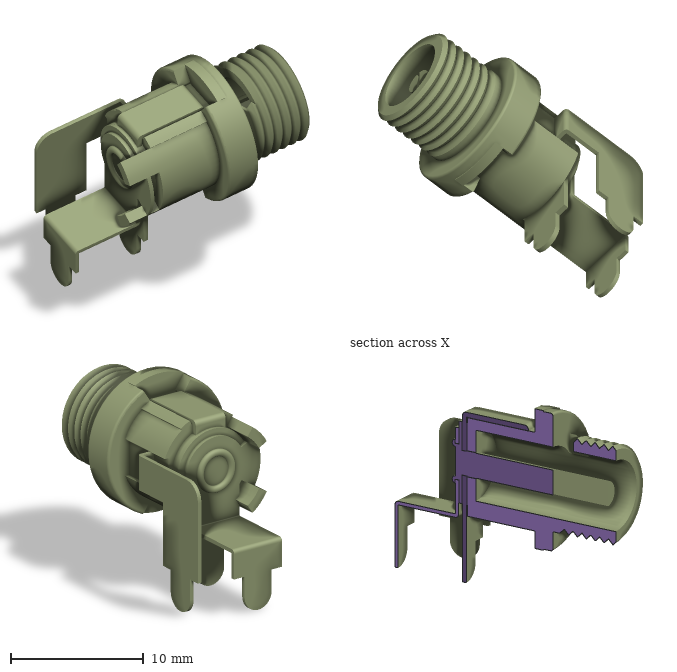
import cadquery as cq
import math


thread_crest_radius = 3.95
thread_pitch = 0.8
thread_depth = thread_pitch / 2
thread_crest_count = 7
plain_neck_length = 0.6
thread_lead_in = 0.3
bore_radius = 2.8
flange_diameter = 11.0
flange_radius = flange_diameter / 2
flange_thickness = 2.69
flange_edge_radius = 0.2
key_radius = 5.6
key_front = 1.82
notch_front = 1.02
window_width = 4.47
window_length = 1.8

body_radius = 4.2
body_length = 5.07
pad_radius = 4.35
end_wall = 0.8
seat_height = 3.7
seat_half_width = 1.48
flare_height = 3.89
notch_half_width = 2.25
notch_rim_height = 5.03
pocket_floor_x = -3.59
pocket_height = 2.99
lug_inner_radius = 3.37
lug_length = 2.63
lug_start_angle = 29
lug_end_angle = 56
boss_radius = 3.29
boss_length = 0.48

pin_radius = 1.013
pin_recess = 0.8
pin_split_width = 0.3
pin_flange_thickness = 0.3
rivet_ring_radius = 1.46
rivet_bead_radius = 0.3

leg_half_width = 2.235
leg_shoulder_z = -6.54
leg_tip_z = -9.5
leg_tip_radius = 1.253
sheet_thickness = 0.32

sleeve_thickness = 0.4
sleeve_strip_width = 2.77
sleeve_strip_front = 0.48

rear_disc_radius = 2.75
rear_shelf_top = -4.17
rear_end = -11.65
rear_inner_bend_radius = 0.08

side_outer_x = -4.93
side_front = -2.93
side_arm_half_height = 1.4
side_leg_center_y = -8.48

thread_start = flange_thickness + plain_neck_length
barrel_mouth = thread_start + (thread_crest_count - 1) * thread_pitch + thread_lead_in
body_rear = -body_length
boss_rear = body_rear - boss_length
pin_flange_rear = boss_rear - pin_flange_thickness
rear_terminal_rear = pin_flange_rear - sheet_thickness
clear_radius = key_radius + 0.2


def cylinder(radius, y_rear, y_front):
    """Round bar about the Y axis."""
    half_section = cq.Workplane("YZ").moveTo(y_rear, 0).lineTo(y_rear, radius).lineTo(y_front, radius)
    return half_section.lineTo(y_front, 0).close().revolve(360, (0, 0), (1, 0))


def block(x_range, y_range, z_range):
    """Box between pairs of low and high coordinates."""
    size = [high - low for low, high in (x_range, y_range, z_range)]
    low_corner = (x_range[0], y_range[0], z_range[0])
    return cq.Workplane("XY").box(*size, centered=False).translate(low_corner)


def at_polar(radius, angle):
    """X and Z of a point at an angle in degrees, measured from +X towards +Z."""
    return radius * math.cos(math.radians(angle)), radius * math.sin(math.radians(angle))


def sector(radius, start_angle, end_angle, y_rear, y_front):
    """Pie-shaped slice about the Y axis."""
    outline = cq.Workplane("XZ", origin=(0, y_front, 0)).lineTo(*at_polar(radius, start_angle))
    middle = at_polar(radius, (start_angle + end_angle) / 2)
    outline = outline.threePointArc(middle, at_polar(radius, end_angle)).close()
    return outline.extrude(y_front - y_rear)


def solder_leg(plane, origin, thickness, top_z):
    """Flat leg: a wide plate, then shoulders and a narrow round-ended tip."""
    tip_center_z = leg_tip_z + leg_tip_radius
    outline = cq.Workplane(plane, origin=origin).moveTo(-leg_half_width, top_z).lineTo(leg_half_width, top_z)
    outline = outline.lineTo(leg_half_width, leg_shoulder_z).lineTo(leg_tip_radius, leg_shoulder_z)
    outline = outline.lineTo(leg_tip_radius, tip_center_z)
    outline = outline.threePointArc((0, leg_tip_z), (-leg_tip_radius, tip_center_z))
    outline = outline.lineTo(-leg_tip_radius, leg_shoulder_z).lineTo(-leg_half_width, leg_shoulder_z)
    return outline.close().extrude(thickness)


def threaded_barrel():
    """Barrel with ring-shaped V threads, cut off part-way up the first thread at the mouth."""
    root_radius = thread_crest_radius - thread_depth
    profile = cq.Workplane("YZ").lineTo(0, thread_crest_radius).lineTo(thread_start, thread_crest_radius)
    for index in range(1, thread_crest_count):
        crest_y = thread_start + index * thread_pitch
        profile = profile.lineTo(crest_y - thread_pitch / 2, root_radius)
        profile = profile.lineTo(crest_y, thread_crest_radius)
    profile = profile.lineTo(barrel_mouth, thread_crest_radius - thread_lead_in)
    return profile.lineTo(barrel_mouth, 0).close().revolve(360, (0, 0), (1, 0))


def flared_notch(y_rear, y_front):
    """Prism above the terminal seat whose side walls flare outwards."""
    flare = (notch_half_width - seat_half_width) / (notch_rim_height - flare_height)
    top_half_width = seat_half_width + flare * (clear_radius - flare_height)
    corners = [
        (-seat_half_width, seat_height),
        (seat_half_width, seat_height),
        (seat_half_width, flare_height),
        (top_half_width, clear_radius),
        (-top_half_width, clear_radius),
        (-seat_half_width, flare_height),
    ]
    return cq.Workplane("XZ", origin=(0, y_front, 0)).polyline(corners).close().extrude(y_front - y_rear)


def flange():
    """Flange with a rear notch and a raised key at both the top and the bottom."""
    ring = cylinder(flange_radius, 0, flange_thickness).edges("%CIRCLE").fillet(flange_edge_radius)
    notch = flared_notch(0, notch_front)
    key = flared_notch(notch_front, key_front).intersect(cylinder(key_radius, notch_front, key_front))
    for angle in (0, 180):
        ring = ring.cut(notch.rotate((0, 0, 0), (0, 1, 0), angle))
        ring = ring.union(key.rotate((0, 0, 0), (0, 1, 0), angle))
    return ring


def locking_lugs():
    """Two fingers behind the body that hold the rear terminal between them."""
    lug_rear = body_rear - lug_length
    inner_cut = cylinder(lug_inner_radius, lug_rear, body_rear)
    upper = sector(body_radius, lug_start_angle, lug_end_angle, lug_rear, body_rear).cut(inner_cut)
    return upper.add(upper.mirror("XY")).combine()


def make_housing(lugs, sleeve_terminal):
    pad = sector(pad_radius, lug_end_angle, 180 - lug_end_angle, body_rear, notch_front)
    body = cylinder(body_radius, body_rear, notch_front).union(pad)
    boss = cylinder(boss_radius, boss_rear, body_rear)
    housing = threaded_barrel().union(flange()).union(body).union(boss)
    for lug in lugs.solids().vals():
        housing = housing.union(cq.Workplane(lug))
    housing = housing.cut(flared_notch(body_rear, notch_front))
    pocket_z = (-pocket_height / 2, pocket_height / 2)
    housing = housing.cut(block((-body_radius, pocket_floor_x), (body_rear, 0), pocket_z))
    housing = housing.cut(cylinder(bore_radius, body_rear + end_wall, barrel_mouth))
    housing = housing.cut(cylinder(pin_radius, boss_rear, barrel_mouth))
    window_x = (-window_width / 2, window_width / 2)
    window_y = (flange_thickness, flange_thickness + window_length)
    housing = housing.cut(block(window_x, window_y, (0, flange_radius)))
    return housing.cut(sleeve_terminal)


def make_contact_pin():
    """Split pin with a flange behind the boss and a rolled rivet head behind the rear terminal."""
    tip_y = barrel_mouth - pin_recess
    pin = cylinder(pin_radius, boss_rear, tip_y)
    split_x = (-pin_split_width / 2, pin_split_width / 2)
    pin = pin.cut(block(split_x, (flange_thickness, tip_y), (-pin_radius, pin_radius)))
    pin = pin.union(cylinder(boss_radius, pin_flange_rear, boss_rear))
    pin = pin.union(cylinder(rivet_ring_radius, rear_terminal_rear, pin_flange_rear))
    bead = cq.Workplane("YZ").moveTo(rear_terminal_rear, rivet_ring_radius - rivet_bead_radius)
    bead = bead.threePointArc(
        (rear_terminal_rear - rivet_bead_radius, rivet_ring_radius),
        (rear_terminal_rear, rivet_ring_radius + rivet_bead_radius),
    )
    return pin.union(bead.close().revolve(360, (0, 0), (1, 0)))


def make_sleeve_terminal(lugs):
    """Strip along the top seat, bent down through the boss into a solder leg."""
    strip_x = (-sleeve_strip_width / 2, sleeve_strip_width / 2)
    plate_front = boss_rear + sleeve_thickness
    strip_top = seat_height + sleeve_thickness
    strip = block(strip_x, (boss_rear, sleeve_strip_front), (seat_height, strip_top))
    strip = strip.union(block(strip_x, (boss_rear, plate_front), (0, strip_top)))
    strip = strip.edges("|X and >Z").fillet(sleeve_thickness * 0.99)
    leg = solder_leg("XZ", (0, plate_front, 0), sleeve_thickness, 0)
    return strip.union(leg).cut(cylinder(pin_radius, boss_rear, plate_front)).cut(lugs)


def make_rear_terminal(lugs):
    """Riveted disc with a locking tab, stepped back over a shelf to a solder leg."""
    plate_y = (rear_terminal_rear, pin_flange_rear)
    strip_x = (-leg_half_width, leg_half_width)
    shelf_bottom = rear_shelf_top - sheet_thickness
    leg_front = rear_end + sheet_thickness
    lower_step = block(strip_x, (rear_terminal_rear, pin_flange_rear), (shelf_bottom, 0))
    lower_step = lower_step.union(block(strip_x, (rear_end, pin_flange_rear), (shelf_bottom, rear_shelf_top)))
    lower_step = lower_step.edges("|X and >Y and <Z").fillet(sheet_thickness * 0.99)
    shelf_corner = cq.selectors.NearestToPointSelector((0, rear_terminal_rear, rear_shelf_top))
    lower_step = lower_step.edges(shelf_corner).fillet(rear_inner_bend_radius)
    leg = solder_leg("XZ", (0, leg_front, 0), sheet_thickness, rear_shelf_top)
    terminal = lower_step.union(leg).edges("|X and <Y and >(0, -1, 1)").fillet(sheet_thickness * 0.99)
    terminal = terminal.union(cylinder(rear_disc_radius, *plate_y))
    terminal = terminal.union(sector(body_radius, -lug_start_angle, lug_start_angle, *plate_y))
    return terminal.cut(cylinder(rivet_ring_radius, *plate_y)).cut(lugs)


def make_side_terminal():
    """Tab in the side pocket, bent into an arm that turns down into a solder leg."""
    arm_z = (-side_arm_half_height, side_arm_half_height)
    arm_x = (side_outer_x, side_outer_x + sheet_thickness)
    arm_rear = side_leg_center_y - leg_half_width
    leg = solder_leg("YZ", (side_outer_x, side_leg_center_y, 0), sheet_thickness, side_arm_half_height)
    tab_y = (side_front - sheet_thickness, side_front)
    tab = block((side_outer_x, pocket_floor_x), tab_y, arm_z)
    terminal = block(arm_x, (arm_rear, side_front), arm_z).union(leg).union(tab)
    terminal = terminal.edges("|Z and >Y and <X").fillet(sheet_thickness * 0.99)
    return terminal.edges("|X and <Y and >Z").fillet(side_arm_half_height)


lugs = locking_lugs()
sleeve_terminal = make_sleeve_terminal(lugs)
housing = make_housing(lugs, sleeve_terminal)
contact_pin = make_contact_pin()
rear_terminal = make_rear_terminal(lugs)
side_terminal = make_side_terminal()

bodies = [housing, contact_pin, sleeve_terminal, rear_terminal, side_terminal]
result = cq.Compound.makeCompound([body.val() for body in bodies])